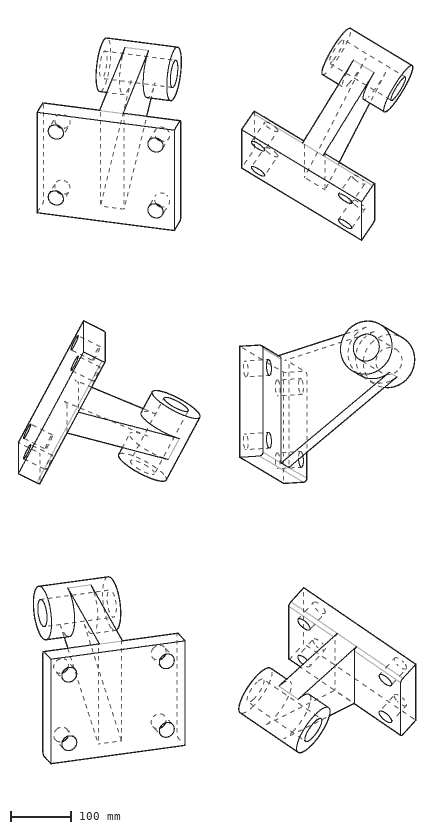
import cadquery as cq
import math

plate_width = 234.0
total_depth = 244.5
total_height = 226.5

plate_height = 185.8
plate_thickness = 40.0
plate_edge_radius = 6.0
bolt_hole_diameter = 26.0
bolt_spacing_x = 170.0
bolt_spacing_z = 121.8

barrel_diameter = 89.0
bore_diameter = 45.0
barrel_length = 120.8
barrel_radius = barrel_diameter / 2
barrel_y = total_depth - barrel_radius
barrel_z = total_height - barrel_radius

web_thickness = 40.3


def barrel_tangent_point(start, side):
    """Point where a line from start touches the barrel; side is -1 above it and 1 below."""
    dy = start[0] - barrel_y
    dz = start[1] - barrel_z
    direction_to_start = math.atan2(dz, dy)
    angle = direction_to_start + side * math.acos(barrel_radius / math.hypot(dy, dz))
    return (
        barrel_y + barrel_radius * math.cos(angle),
        barrel_z + barrel_radius * math.sin(angle),
    )


def x_cylinder(diameter):
    """Cylinder on the barrel axis, centred across the part."""
    return (
        cq.Workplane("YZ")
        .center(barrel_y, barrel_z)
        .circle(diameter / 2)
        .extrude(barrel_length / 2, both=True)
    )


def make_plate():
    """Plate with rounded upper and lower rear edges and four through holes."""
    plate = cq.Workplane("XY").box(
        plate_width, plate_thickness, plate_height, centered=(True, False, False)
    )
    plate = plate.faces(">Y").edges("|X").fillet(plate_edge_radius)
    holes = (
        cq.Workplane("XZ")
        .center(0, plate_height / 2)
        .rarray(bolt_spacing_x, bolt_spacing_z, 2, 2)
        .circle(bolt_hole_diameter / 2)
        .extrude(-plate_thickness)
    )
    return plate.cut(holes)


def make_web():
    """Tapered web whose sloping edges run tangent to the barrel."""
    round_start_y = plate_thickness - plate_edge_radius
    upper_start = (round_start_y, plate_height)
    lower_start = (plate_thickness, plate_edge_radius)
    outline = [
        upper_start,
        barrel_tangent_point(upper_start, -1),
        (barrel_y, barrel_z),
        barrel_tangent_point(lower_start, 1),
        lower_start,
        (round_start_y, plate_edge_radius),
    ]
    return cq.Workplane("YZ").polyline(outline).close().extrude(web_thickness / 2, both=True)


body = make_plate().union(make_web()).union(x_cylinder(barrel_diameter))
result = body.cut(x_cylinder(bore_diameter))